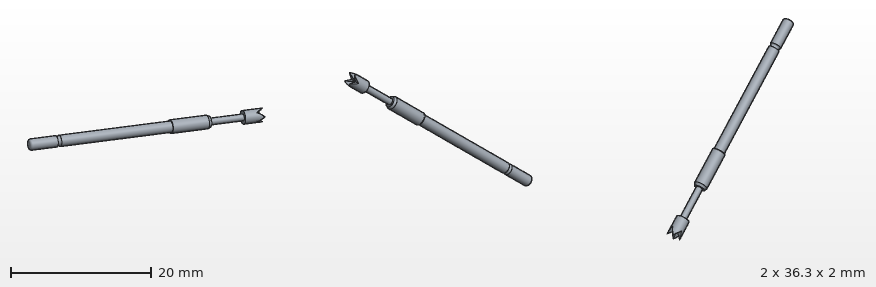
import cadquery as cq
import math

total_length = 36.3
crown_tip_y = total_length / 2
tail_end_y = -total_length / 2

crown_radius = 2.0 / 2
stem_radius = 1.0 / 2
collar_radius = crown_radius
barrel_radius = 1.67 / 2
groove_waist_radius = 1.38 / 2

crown_length = 3.0
collar_start = 8.2
collar_end = 14.25
groove_start = 31.55
groove_end = 32.1

collar_chamfer_length = 0.45
collar_chamfer_depth = 0.18
tail_fillet = 0.35
crown_notch_depth = 1.13


def cylinder(radius, start, end):
    """Cylinder about Y between two distances behind the crown tip."""
    plane = cq.Workplane("XZ", origin=(0, crown_tip_y - start, 0))
    return plane.circle(radius).extrude(end - start)


def make_crown():
    """Head cut by two crossing V-notches, leaving four points on the X and Z axes."""
    crown = cylinder(crown_radius, 0, crown_length)
    notch_half_width = crown_radius / math.sqrt(2)
    notch_reach = 2 * crown_radius
    notch = (
        cq.Workplane("XY")
        .moveTo(0, crown_tip_y - crown_notch_depth)
        .lineTo(notch_half_width, crown_tip_y)
        .lineTo(-notch_half_width, crown_tip_y)
        .close()
        .extrude(notch_reach, both=True)
    )
    for angle in (45, 135):
        crown = crown.cut(notch.rotate((0, 0, 0), (0, 1, 0), angle))
    return crown


def make_body():
    """Chamfered collar, barrel, round-bottomed groove and rounded tail as one turned profile."""
    collar_start_y = crown_tip_y - collar_start
    collar_end_y = crown_tip_y - collar_end
    groove_start_y = crown_tip_y - groove_start
    groove_end_y = crown_tip_y - groove_end
    arc_offset = tail_fillet * (1 - math.sqrt(0.5))
    return (
        cq.Workplane("XY")
        .moveTo(0, collar_start_y)
        .lineTo(collar_radius - collar_chamfer_depth, collar_start_y)
        .lineTo(collar_radius, collar_start_y - collar_chamfer_length)
        .lineTo(collar_radius, collar_end_y)
        .lineTo(barrel_radius, collar_end_y)
        .lineTo(barrel_radius, groove_start_y)
        .threePointArc(
            (groove_waist_radius, (groove_start_y + groove_end_y) / 2),
            (barrel_radius, groove_end_y),
        )
        .lineTo(barrel_radius, tail_end_y + tail_fillet)
        .threePointArc(
            (barrel_radius - arc_offset, tail_end_y + arc_offset),
            (barrel_radius - tail_fillet, tail_end_y),
        )
        .lineTo(0, tail_end_y)
        .close()
        .revolve(360, (0, 0, 0), (0, 1, 0))
    )


stem = cylinder(stem_radius, crown_length, collar_start)
result = make_crown().union(stem).union(make_body())